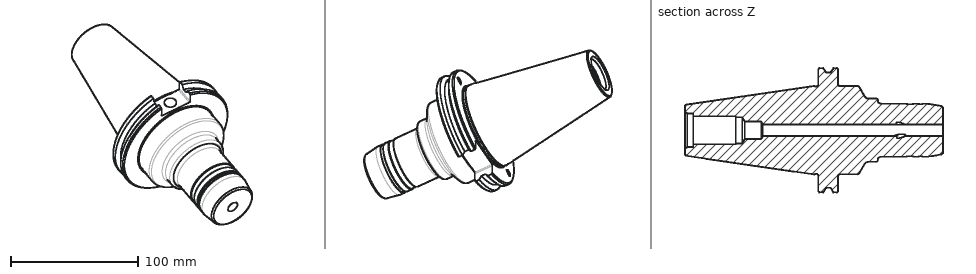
import math

import cadquery as cq


taper_length = 101.6
gauge_diameter = 69.85
taper_rate = 7 / 24
taper_end_chamfer = 0.8

neck_diameter = 69.25
neck_step_length = 0.8

flange_start = 3.175
flange_end = 19.05
flange_middle = (flange_start + flange_end) / 2
flange_diameter = 98.425
flange_chamfer = 1.0
flange_root_chamfer = 0.7
groove_center = 11.3
groove_floor_diameter = 91.2
groove_floor_width = 3.6
groove_half_angle = 30
slot_width = 26.85
slot_corner_fillet = 0.8
upper_slot_height = 37.7
lower_slot_height = 35.3
dimple_diameter = 9.53
drill_point_angle = 118

nose_end = 101.6
body_diameter = 69.85
body_end = 34.0
body_fillet = 2.0
shoulder_cone_slope = 60
shoulder_fillet = 3.0
shoulder_diameter = 50.25
shoulder_end = 48.6
shoulder_round = 1.8
step_diameter = 44.8
nose_root_radius = 3.7
nose_diameter = 42.0
nose_start = 53.3
nose_groove_diameter = 41.0
wide_groove = (73.1, 78.0)
narrow_groove = (82.4, 85.0)
tip_cone_start = 89.1
tip_diameter = 38.4
tip_chamfer = 1.3

counterbore_diameter = 26.2
counterbore_mouth_diameter = 29.0
counterbore_chamfer_depth = 2.0
counterbore_depth = 6.5
thread_bore_diameter = 21.97
thread_bore_depth = 40.0
pilot_diameter = 20.5
pilot_depth = 45.0
relief_diameter = 13.5
relief_depth = 60.0
through_diameter = 8.92

coolant_angle = 20
coolant_radius = 42.0
coolant_tilt = 30
coolant_mouth_diameter = 5.0
coolant_mouth_depth = 3.0
coolant_channel_diameter = 4.2
plug_hole_diameter = 4.13
plug_hole_floor_radius = 38.5


def cone_length(large_diameter, small_diameter, included_angle):
    return (large_diameter - small_diameter) / 2 / math.tan(math.radians(included_angle / 2))


def revolve_about_x(outline):
    return outline.close().revolve(360, (0, 0, 0), (1, 0, 0))


def make_body():
    end_diameter = gauge_diameter - taper_rate * taper_length
    groove_depth = (flange_diameter - groove_floor_diameter) / 2
    floor_half = groove_floor_width / 2
    mouth_half = floor_half + groove_depth * math.tan(math.radians(groove_half_angle))
    flange_radius = flange_diameter / 2
    nose_groove_drop = (nose_diameter - nose_groove_diameter) / 2
    slope = math.radians(shoulder_cone_slope)
    cone_start = body_end + body_fillet * math.sin(slope)
    cone_start_radius = body_diameter / 2 - body_fillet * (1 - math.cos(slope))
    cone_end_radius = shoulder_diameter / 2 + shoulder_fillet * (1 - math.cos(slope))
    cone_end = cone_start + (cone_start_radius - cone_end_radius) / math.tan(slope)
    shoulder_start = cone_end + shoulder_fillet * math.sin(slope)
    outline = (
        cq.Workplane("XY")
        .moveTo(-taper_length, 0)
        .lineTo(-taper_length, end_diameter / 2 - taper_end_chamfer)
        .lineTo(-taper_length + taper_end_chamfer, (end_diameter + taper_rate * taper_end_chamfer) / 2)
        .lineTo(0, gauge_diameter / 2)
        .lineTo(neck_step_length, neck_diameter / 2)
        .lineTo(flange_start - flange_root_chamfer, neck_diameter / 2)
        .lineTo(flange_start, neck_diameter / 2 + flange_root_chamfer)
        .lineTo(flange_start, flange_radius - flange_chamfer)
        .lineTo(flange_start + flange_chamfer, flange_radius)
        .lineTo(groove_center - mouth_half, flange_radius)
        .lineTo(groove_center - floor_half, groove_floor_diameter / 2)
        .lineTo(groove_center + floor_half, groove_floor_diameter / 2)
        .lineTo(groove_center + mouth_half, flange_radius)
        .lineTo(flange_end - flange_chamfer, flange_radius)
        .lineTo(flange_end, flange_radius - flange_chamfer)
        .lineTo(flange_end, body_diameter / 2 + flange_root_chamfer)
        .lineTo(flange_end + flange_root_chamfer, body_diameter / 2)
        .lineTo(body_end, body_diameter / 2)
        .radiusArc((cone_start, cone_start_radius), body_fillet)
        .lineTo(cone_end, cone_end_radius)
        .radiusArc((shoulder_start, shoulder_diameter / 2), -shoulder_fillet)
        .lineTo(shoulder_end, shoulder_diameter / 2)
        .radiusArc((shoulder_end + shoulder_round, shoulder_diameter / 2 - shoulder_round), shoulder_round)
        .lineTo(shoulder_end + shoulder_round, step_diameter / 2)
        .radiusArc((nose_start, nose_diameter / 2), -nose_root_radius)
    )
    outline = (
        outline.lineTo(wide_groove[0], nose_diameter / 2)
        .lineTo(wide_groove[0] + nose_groove_drop, nose_groove_diameter / 2)
        .lineTo(wide_groove[1] - nose_groove_drop, nose_groove_diameter / 2)
        .lineTo(wide_groove[1], nose_diameter / 2)
        .lineTo(narrow_groove[0], nose_diameter / 2)
        .lineTo(narrow_groove[0] + nose_groove_drop, nose_groove_diameter / 2)
        .lineTo(narrow_groove[1], nose_groove_diameter / 2)
        .lineTo(narrow_groove[1], nose_diameter / 2)
        .lineTo(tip_cone_start, nose_diameter / 2)
        .lineTo(nose_end - tip_chamfer, tip_diameter / 2)
        .lineTo(nose_end, tip_diameter / 2 - tip_chamfer)
        .lineTo(nose_end, 0)
    )
    return revolve_about_x(outline)


def make_bore():
    mouth = -taper_length
    thread_end = mouth + thread_bore_depth
    pilot_end = mouth + pilot_depth
    pilot_tip = pilot_end + cone_length(pilot_diameter, relief_diameter, drill_point_angle)
    relief_end = mouth + relief_depth
    relief_tip = relief_end + cone_length(relief_diameter, through_diameter, drill_point_angle)
    outline = (
        cq.Workplane("XY")
        .moveTo(mouth, 0)
        .lineTo(mouth, counterbore_mouth_diameter / 2)
        .lineTo(mouth + counterbore_chamfer_depth, counterbore_diameter / 2)
        .lineTo(mouth + counterbore_depth, counterbore_diameter / 2)
        .lineTo(mouth + counterbore_depth, thread_bore_diameter / 2)
        .lineTo(thread_end, thread_bore_diameter / 2)
        .lineTo(thread_end, pilot_diameter / 2)
        .lineTo(pilot_end, pilot_diameter / 2)
        .lineTo(pilot_tip, relief_diameter / 2)
        .lineTo(relief_end, relief_diameter / 2)
        .lineTo(relief_tip, through_diameter / 2)
        .lineTo(nose_end, through_diameter / 2)
        .lineTo(nose_end, 0)
    )
    return revolve_about_x(outline)


def make_drive_slot(floor_height):
    """Slot on the +Z side, open to both flange faces, with rounded floor corners."""
    return (
        cq.Workplane("XY")
        .box(flange_end - flange_start, slot_width, flange_diameter, centered=(False, True, False))
        .faces("<Z")
        .edges("|X")
        .fillet(slot_corner_fillet)
        .translate((flange_start, 0, floor_height))
    )


def make_dimple():
    depth = cone_length(dimple_diameter, 0, drill_point_angle)
    cone = cq.Solid.makeCone(
        dimple_diameter / 2, 0, depth, cq.Vector(flange_middle, 0, upper_slot_height), cq.Vector(0, 0, -1)
    )
    return cq.Workplane(cone)


def make_coolant_channel(turn):
    """Tilted channel with a wider mouth and a radial plug hole, on the +Y side, turned about X."""
    tilt = math.radians(coolant_tilt)
    mouth = cq.Vector(flange_start, coolant_radius, 0)
    direction = cq.Vector(math.cos(tilt), -math.sin(tilt), 0)
    lead = coolant_mouth_diameter
    start = mouth - direction * lead
    wide = cq.Solid.makeCylinder(coolant_mouth_diameter / 2, lead + coolant_mouth_depth, start, direction)
    channel_length = coolant_radius / math.sin(tilt)
    channel = cq.Solid.makeCylinder(coolant_channel_diameter / 2, channel_length, mouth, direction)
    plug = cq.Solid.makeCylinder(
        plug_hole_diameter / 2,
        flange_diameter / 2 - plug_hole_floor_radius,
        cq.Vector(flange_middle, plug_hole_floor_radius, 0),
        cq.Vector(0, 1, 0),
    )
    tool = cq.Workplane(wide).union(cq.Workplane(channel)).union(cq.Workplane(plug))
    return tool.rotate((0, 0, 0), (1, 0, 0), turn)


result = make_body().cut(make_bore())
result = result.cut(make_drive_slot(upper_slot_height))
result = result.cut(make_drive_slot(lower_slot_height).rotate((0, 0, 0), (1, 0, 0), 180))
result = result.cut(make_dimple())
for half_turn in (0, 180):
    result = result.cut(make_coolant_channel(coolant_angle + half_turn))